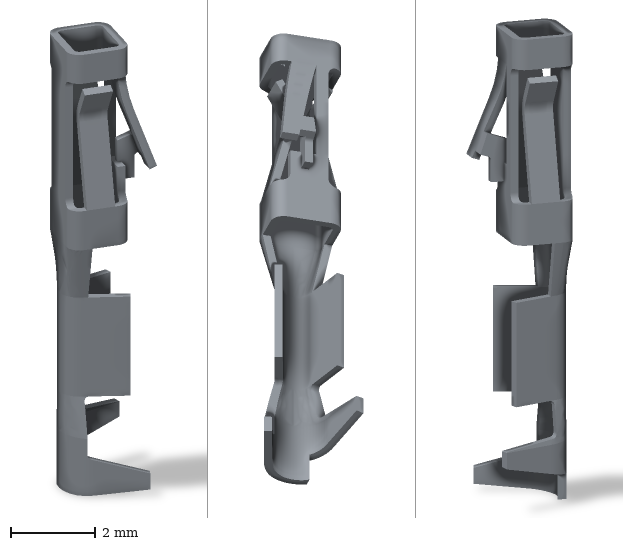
import cadquery as cq
import math

sheet = 0.2

insulation_top = 1.5
wire_bottom = 2.5
wire_top = 5.06
box_bottom = 6.45
window_bottom = 7.46
window_top = 10.76
terminal_top = 11.51

box_width = 1.73
box_depth = 1.52
box_corner = 0.32
rail_half_width = 0.47
window_corner = 0.21

spring_width = 0.71
spring_bend_x = 0.3
spring_bend_z = 9.68
spring_tip_x = 0.71
spring_tip_z = 10.38
spring_bend_radius = 0.35

lance_angle = 19.0
lance_bend_z = 9.78
lance_tip_y = 2.18
lance_top_left, lance_top_right = -0.17, 0.44
lance_tip_left, lance_tip_right = 0.45, 0.86
stop_left = 0.01
stop_top_z = 9.04
stop_ear_bottom_z = 8.54
stop_bottom_z = 7.84
stop_foot_y = 1.84
stop_corner = 0.09

wing_lean = 17.1
wire_radius = 0.54
wire_half_width = 0.86
insulation_radius = 0.9
overall_width = 2.47
insulation_half_width = overall_width / 2
corner_split = 45.0
whole_arc = 90.0

front_neck_y = 0.54
rear_neck_y = 0.45
trim_reach = 2.3
left_wing_root_top = 1.63
left_wing_tip_top = 1.51
left_wing_tip_bottom = 1.12
left_wing_root_bottom = 0.62
left_wing_x = -0.37
right_wing_root_top = 0.99
right_wing_tip_top = 0.55
right_wing_tip_bottom = 0.17
wing_tip_y = 1.96
right_wing_root_y = 0.23
neck_fillet = 0.12

lance_turn = math.radians(lance_angle)
lance_bend_radius = (window_top - lance_bend_z) / math.sin(lance_turn)
lance_bend_y = box_depth + lance_bend_radius * (1 - math.cos(lance_turn))
lance_tip_z = lance_bend_z - (lance_tip_y - lance_bend_y) / math.tan(lance_turn)
lance_foot_z = lance_tip_z - sheet * math.sin(lance_turn)


def polar(center_x, center_y, radius, degrees):
    """Point on a circle, with the angle measured down from horizontal."""
    angle = math.radians(degrees)
    return (center_x + radius * math.cos(angle), center_y - radius * math.sin(angle))


def half_channel(z, flat_half, radius, lean, split, rim):
    """Right half of a folded channel wall: floor, rolled corner and leaning wing.

    The floor runs from the middle to the split angle; a round barrel split at 90 has none.
    """
    def wall(wall_radius):
        floor_end = polar(flat_half, radius, wall_radius, split)
        corner_mid = polar(flat_half, radius, wall_radius, (split + lean) / 2)
        corner_end = polar(flat_half, radius, wall_radius, lean)
        tip = (corner_end[0] + rim * math.sin(math.radians(lean)),
               corner_end[1] + rim * math.cos(math.radians(lean)))
        return floor_end, corner_mid, corner_end, tip

    def floor(path, wall_radius, end):
        if flat_half > 0:
            return path.lineTo(*end)
        if split == whole_arc:
            return path
        middle = polar(0, radius, wall_radius, (whole_arc + split) / 2)
        return path.threePointArc(middle, end)

    inner_radius = radius - sheet
    floor_end, corner_mid, corner_end, tip = wall(radius)
    path = cq.Workplane("XY", origin=(0, 0, z)).moveTo(0, 0)
    path = floor(path, radius, floor_end)
    path = path.threePointArc(corner_mid, corner_end).lineTo(*tip)
    floor_end, corner_mid, corner_end, tip = wall(inner_radius)
    path = path.lineTo(*tip).lineTo(*corner_end).threePointArc(corner_mid, floor_end)
    return floor(path, inner_radius, (0, sheet)).close()


def barrel_half(z, radius, half_width, split):
    """Right half of a crimp barrel, its wing reaching out to the given half width."""
    lean = math.radians(wing_lean)
    rim = (half_width - radius * math.cos(lean)) / math.sin(lean)
    return half_channel(z, 0, radius, wing_lean, split, rim)


def wire_half(z, split):
    return barrel_half(z, wire_radius, wire_half_width, split)


def insulation_half(z):
    return barrel_half(z, insulation_radius, insulation_half_width, whole_arc)


def box_half(z):
    """Right half of the mating box below its back wall."""
    return half_channel(z, box_width / 2 - box_corner, box_corner, 0, whole_arc, box_depth - box_corner)


def blend(lower, upper):
    """Straight-ruled wall between two half channels."""
    wires = [section.val() for section in (lower, upper)]
    return cq.Workplane(cq.Solid.makeLoft(wires, True))


def both_halves(half):
    return half.union(half.mirror("YZ"))


def box_block(width, depth, corner, height):
    block = cq.Workplane("XY").rect(width, depth).extrude(height).edges("|Z").fillet(corner)
    return block.translate((0, box_depth / 2, box_bottom))


def mating_box():
    """Rounded tube with a full-depth window cut through each side wall and a gap at the lance."""
    height = terminal_top - box_bottom
    tube = box_block(box_width, box_depth, box_corner, height)
    tube = tube.cut(box_block(box_width - 2 * sheet, box_depth - 2 * sheet, box_corner - sheet, height))
    window_x = rail_half_width + box_width / 2
    window_height = window_top - window_bottom
    window = (
        cq.Workplane("XY")
        .box(box_width, box_depth, window_height)
        .edges("|Y").fillet(window_corner)
    )
    for side in (-1, 1):
        middle = (side * window_x, box_depth / 2, window_bottom + window_height / 2)
        tube = tube.cut(window.translate(middle))
    return tube.cut(lance_opening())


def lance_opening():
    """Gap left in the back wall by the lance, open to the right-hand window."""
    opening = cq.Workplane("XY").box(
        box_width / 2 - lance_top_left, sheet, window_top - lance_foot_z, centered=False
    )
    return opening.translate((lance_top_left, box_depth - sheet, lance_foot_z))


def contact_spring():
    """Right-hand spring: leans inward from the side wall, then flares out at its tip."""
    root_x = box_width / 2
    blade = math.atan2(root_x - spring_bend_x, spring_bend_z - window_bottom)
    flare = math.atan2(spring_tip_x - spring_bend_x, spring_tip_z - spring_bend_z)
    inner_root_x = root_x - sheet / math.cos(blade)
    miter = sheet / math.cos((blade + flare) / 2)
    miter_angle = (flare - blade) / 2
    inner_bend = (spring_bend_x - miter * math.cos(miter_angle),
                  spring_bend_z + miter * math.sin(miter_angle))
    inner_tip = (spring_tip_x - sheet * math.cos(flare), spring_tip_z + sheet * math.sin(flare))
    spring = (
        cq.Workplane("XZ", origin=(0, (box_depth + spring_width) / 2, 0))
        .moveTo(root_x, window_bottom)
        .lineTo(spring_bend_x, spring_bend_z)
        .lineTo(spring_tip_x, spring_tip_z)
        .lineTo(*inner_tip)
        .lineTo(*inner_bend)
        .lineTo(inner_root_x, window_bottom)
        .close()
        .extrude(spring_width)
    )
    bend_y = box_depth / 2
    outer_edge = cq.NearestToPointSelector((spring_bend_x, bend_y, spring_bend_z))
    inner_edge = cq.NearestToPointSelector((inner_bend[0], bend_y, inner_bend[1]))
    spring = spring.edges("|Y").edges(outer_edge).fillet(spring_bend_radius)
    return spring.edges("|Y").edges(inner_edge).fillet(spring_bend_radius + sheet)


def lance_face_y(z):
    """Outer face of the straight lance blade at a given height."""
    return lance_bend_y + (lance_bend_z - z) * math.tan(lance_turn)


def behind_lance(z, depth):
    """Point square to the outer lance face, the given depth below it."""
    return (lance_face_y(z) - depth * math.cos(lance_turn), z - depth * math.sin(lance_turn))


def locking_lance():
    """Blade bending away from the back wall, narrowing and drifting sideways to its tip."""
    center_y = box_depth + lance_bend_radius

    def bend_point(radius, turn):
        return (center_y - radius * math.cos(turn), window_top - radius * math.sin(turn))

    inner_radius = lance_bend_radius + sheet
    blade = (
        cq.Workplane("YZ", origin=(-box_width / 2, 0, 0))
        .moveTo(box_depth, window_top)
        .threePointArc(bend_point(lance_bend_radius, lance_turn / 2), (lance_bend_y, lance_bend_z))
        .lineTo(lance_tip_y, lance_tip_z)
        .lineTo(*behind_lance(lance_tip_z, sheet))
        .lineTo(*bend_point(inner_radius, lance_turn))
        .threePointArc(bend_point(inner_radius, lance_turn / 2), bend_point(inner_radius, 0))
        .close()
        .extrude(box_width)
    )
    outline = (
        cq.Workplane("XZ")
        .polyline([
            (lance_top_left, window_top), (lance_top_right, window_top),
            (lance_tip_right, lance_tip_z), (lance_tip_right, lance_foot_z),
            (lance_tip_left, lance_foot_z), (lance_tip_left, lance_tip_z),
        ])
        .close()
        .extrude(-2 * box_depth)
    )
    return blade.intersect(outline)


def lance_stop():
    """Ear on the left edge of the lance, with a plate reaching down to the back wall."""
    ear_top = (lance_face_y(stop_top_z), stop_top_z)
    ear_bottom = (lance_face_y(stop_ear_bottom_z), stop_ear_bottom_z)
    slope = math.tan(lance_turn)
    wall_y = box_depth - sheet / 2
    wall_z = stop_top_z - (ear_top[0] - wall_y) * slope
    notch_z = stop_ear_bottom_z - (ear_bottom[0] - stop_foot_y) * slope
    plate = (
        cq.Workplane("YZ", origin=(stop_left, 0, 0))
        .polyline([
            ear_top, ear_bottom, (stop_foot_y, notch_z),
            (stop_foot_y, stop_bottom_z), (wall_y, stop_bottom_z), (wall_y, wall_z),
        ])
        .close()
        .extrude(sheet)
        .edges("|X").edges(cq.NearestToPointSelector((stop_left + sheet / 2, stop_foot_y, notch_z)))
        .fillet(stop_corner)
    )
    ear = (
        cq.Workplane("YZ", origin=(stop_left, 0, 0))
        .polyline([
            ear_top, ear_bottom,
            behind_lance(stop_ear_bottom_z, sheet), behind_lance(stop_top_z, sheet),
        ])
        .close()
        .extrude(lance_tip_left - stop_left)
    )
    return plate.union(ear)


def front_neck():
    """Open channel narrowing from the box to the wire barrel."""
    neck = both_halves(blend(wire_half(wire_top, corner_split), box_half(box_bottom)))
    neck_height = box_bottom - wire_top
    keep = cq.Workplane("XY", origin=(0, 0, wire_top)).rect(2 * box_width, 2 * front_neck_y)
    return neck.intersect(keep.extrude(neck_height))


def trimmed_side(points, fillet_points, start_x, end_x):
    """Block with the side outline of a wing, its inside corners rounded."""
    block = cq.Workplane("YZ").polyline(points).close().extrude(end_x - start_x)
    for y, z in fillet_points:
        corner = cq.NearestToPointSelector(((end_x - start_x) / 2, y, z))
        block = block.edges("|X").edges(corner).fillet(neck_fillet)
    return block.translate((start_x, 0, 0))


def crimp_end():
    """Wire barrel, rear neck and insulation barrel, its two wings staggered along Z."""
    wire_barrel = both_halves(wire_half(wire_bottom, whole_arc).extrude(wire_top - wire_bottom))
    neck = both_halves(blend(insulation_half(insulation_top), wire_half(wire_bottom, whole_arc)))
    barrel = both_halves(insulation_half(0).extrude(insulation_top))
    neck_top = (rear_neck_y, wire_bottom)
    left_corner = (rear_neck_y, left_wing_root_top)
    right_corner = (rear_neck_y, right_wing_root_top)
    left = trimmed_side(
        [
            (0, wire_top), (trim_reach, wire_top), (trim_reach, wire_bottom), neck_top, left_corner,
            (wing_tip_y, left_wing_tip_top), (wing_tip_y, left_wing_tip_bottom),
            (0, left_wing_root_bottom),
        ],
        [neck_top, left_corner], -trim_reach, left_wing_x,
    )
    right = trimmed_side(
        [
            (0, wire_top), (trim_reach, wire_top), (trim_reach, wire_bottom), neck_top, right_corner,
            (wing_tip_y, right_wing_tip_top), (wing_tip_y, right_wing_tip_bottom),
            (right_wing_root_y, 0), (0, 0),
        ],
        [neck_top, right_corner], left_wing_x, trim_reach,
    )
    return wire_barrel.union(neck).union(barrel).intersect(left.union(right))


right_spring = contact_spring()
result = (
    mating_box()
    .union(right_spring)
    .union(right_spring.mirror("YZ"))
    .union(locking_lance())
    .union(lance_stop())
    .union(front_neck())
    .union(crimp_end())
)